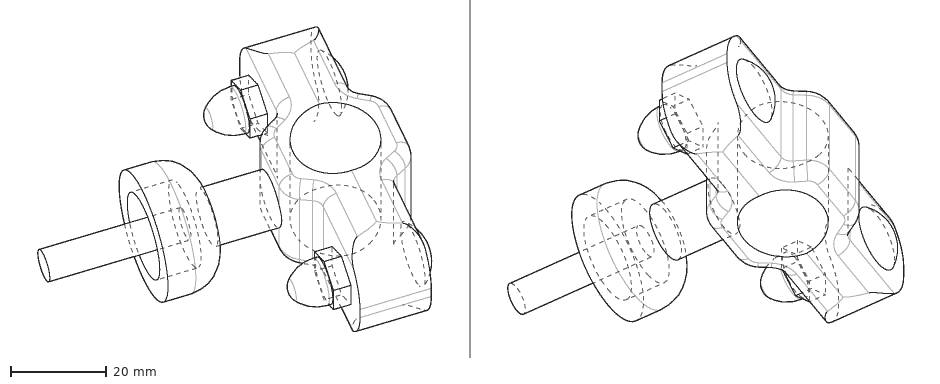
import cadquery as cq
import math

LENGTH = 71.1
TOTAL_DEPTH = 80.0
ARM_HALF_DEPTH = 8.0
HUB_HALF_DEPTH = 29.2 / 2
HUB_FLAT_HALF_WIDTH = 5.2
HUB_CORNER_RADIUS = 5.5
ARM_CORNER_RADIUS = 2.9
FLANK_ANGLE = 60.0
BORE_RADIUS = 9.5
RIDGE_HALF_HEIGHT = 14.1
ROOF_ANGLE = 4.7
EDGE_FILLET = 3.2
END_HALF_HEIGHT = 14.15
END_RADIUS = 12.8

BOLT_X = 24.6
NUT_ACROSS_FLATS = 11.1
NUT_HEIGHT = 3.9
CAP_RADIUS = 5.2
CAP_COLLAR = 0.8
CAP_WALL_HEIGHT = 6.3
CAP_TIP_RADIUS = 2.4
HEAD_RADIUS = 7.2
HEAD_HEIGHT = 3.6

STEM_RADIUS = 6.4
CUP_BACK = 28.8
CUP_RADIUS = 14.5
CUP_HEIGHT = 14.2
CUP_ROUND = 8.0
CUP_BORE_RADIUS = 9.6
CUP_BORE_DEPTH = 9.3
PIN_RADIUS = 7.1 / 2
PIN_END = TOTAL_DEPTH - HUB_HALF_DEPTH


def on_arc(center, radius, angle):
    """Point on a circle at an angle in degrees from +X."""
    turn = math.radians(angle)
    return (center[0] + radius * math.cos(turn), center[1] + radius * math.sin(turn))


def quarter_body():
    """Extruded outline of the +X +Y quarter of the clamp body."""
    half_length = LENGTH / 2
    normal_angle = 90 - FLANK_ANGLE
    hub_center = (HUB_FLAT_HALF_WIDTH, HUB_HALF_DEPTH - HUB_CORNER_RADIUS)
    flank_top = on_arc(hub_center, HUB_CORNER_RADIUS, normal_angle)

    arm_center_y = ARM_HALF_DEPTH + ARM_CORNER_RADIUS
    flank_bottom_y = on_arc((0, arm_center_y), ARM_CORNER_RADIUS, normal_angle + 180)[1]
    flank_run = (flank_top[1] - flank_bottom_y) / math.tan(math.radians(FLANK_ANGLE))
    flank_bottom = (flank_top[0] + flank_run, flank_bottom_y)
    arm_center_x = flank_bottom[0] + ARM_CORNER_RADIUS * math.cos(math.radians(normal_angle))
    arm_center = (arm_center_x, arm_center_y)

    return (
        cq.Workplane("XY")
        .workplane(offset=-RIDGE_HALF_HEIGHT)
        .lineTo(half_length, 0)
        .lineTo(half_length, ARM_HALF_DEPTH)
        .lineTo(arm_center_x, ARM_HALF_DEPTH)
        .threePointArc(on_arc(arm_center, ARM_CORNER_RADIUS, 270 - FLANK_ANGLE / 2), flank_bottom)
        .lineTo(*flank_top)
        .threePointArc(
            on_arc(hub_center, HUB_CORNER_RADIUS, 90 - FLANK_ANGLE / 2),
            (HUB_FLAT_HALF_WIDTH, HUB_HALF_DEPTH),
        )
        .lineTo(0, HUB_HALF_DEPTH)
        .close()
        .extrude(2 * RIDGE_HALF_HEIGHT)
    )


def clamp_body():
    """Ridged two-arm body with rounded ends and the clamping bore."""
    quarter = quarter_body()
    half = quarter.union(quarter.mirror("YZ"))
    body = half.union(half.mirror("XZ")).clean()

    eave = RIDGE_HALF_HEIGHT - HUB_HALF_DEPTH * math.tan(math.radians(ROOF_ANGLE))
    roof = (
        cq.Workplane("YZ")
        .polyline([
            (0, RIDGE_HALF_HEIGHT),
            (HUB_HALF_DEPTH, eave),
            (HUB_HALF_DEPTH, -eave),
            (0, -RIDGE_HALF_HEIGHT),
            (-HUB_HALF_DEPTH, -eave),
            (-HUB_HALF_DEPTH, eave),
        ])
        .close()
        .extrude(LENGTH / 2, both=True)
    )
    body = body.intersect(roof)

    upright = cq.selectors.ParallelDirSelector(cq.Vector(0, 0, 1))
    inside_arm_face = ARM_HALF_DEPTH - EDGE_FILLET / 2
    for side in (1, -1):
        side_edges = cq.selectors.BoxSelector(
            (-LENGTH, side * inside_arm_face, -LENGTH), (LENGTH, side * LENGTH, LENGTH)
        )
        body = body.edges(side_edges - upright).fillet(EDGE_FILLET)

    ends = (
        cq.Workplane("XZ")
        .rect(LENGTH, 2 * END_HALF_HEIGHT)
        .extrude(HUB_HALF_DEPTH, both=True)
        .edges("|Y")
        .fillet(END_RADIUS)
    )
    bore = cq.Workplane("XY").circle(BORE_RADIUS).extrude(RIDGE_HALF_HEIGHT, both=True)
    return body.intersect(ends).cut(bore)


def bolt(x):
    """Domed head on the +Y face and a cap nut on the -Y face of an arm."""
    nut = (
        cq.Workplane("XZ", origin=(x, -ARM_HALF_DEPTH, 0))
        .transformed(rotate=(0, 0, 90))
        .polygon(6, NUT_ACROSS_FLATS / math.cos(math.pi / 6))
        .extrude(NUT_HEIGHT)
    )

    inset = CAP_RADIUS - CAP_TIP_RADIUS
    wall_radius = (inset**2 + CAP_WALL_HEIGHT**2) / (2 * inset)
    wall_sweep = math.degrees(math.asin(CAP_WALL_HEIGHT / wall_radius))
    tip_radius = CAP_TIP_RADIUS / math.cos(math.radians(wall_sweep))

    wall_start = ARM_HALF_DEPTH + NUT_HEIGHT + CAP_COLLAR
    wall_center = (CAP_RADIUS - wall_radius, -wall_start)
    wall_end = on_arc(wall_center, wall_radius, -wall_sweep)
    tip_center = (0, wall_end[1] + tip_radius * math.sin(math.radians(wall_sweep)))
    cap = (
        cq.Workplane("XY")
        .moveTo(0, -ARM_HALF_DEPTH)
        .lineTo(CAP_RADIUS, -ARM_HALF_DEPTH)
        .lineTo(CAP_RADIUS, -wall_start)
        .threePointArc(on_arc(wall_center, wall_radius, -wall_sweep / 2), wall_end)
        .threePointArc(
            on_arc(tip_center, tip_radius, -(90 + wall_sweep) / 2),
            on_arc(tip_center, tip_radius, -90),
        )
        .close()
        .revolve(360, (0, 0), (0, 1))
        .translate((x, 0, 0))
    )

    ball_radius = (HEAD_RADIUS**2 + HEAD_HEIGHT**2) / (2 * HEAD_HEIGHT)
    ball_center = (0, ARM_HALF_DEPTH + HEAD_HEIGHT - ball_radius)
    rim_angle = math.degrees(math.acos(HEAD_RADIUS / ball_radius))
    head = (
        cq.Workplane("XY")
        .moveTo(0, 0)
        .lineTo(HEAD_RADIUS, 0)
        .lineTo(HEAD_RADIUS, ARM_HALF_DEPTH)
        .threePointArc(
            on_arc(ball_center, ball_radius, (90 + rim_angle) / 2),
            on_arc(ball_center, ball_radius, 90),
        )
        .close()
        .revolve(360, (0, 0), (0, 1))
        .translate((x, 0, 0))
    )
    return nut.union(cap).union(head)


def rod(radius, start, length):
    """Cylinder along -Y that begins at the given distance from the origin."""
    return cq.Workplane("XZ", origin=(0, -start, 0)).circle(radius).extrude(length)


def stem_and_cup():
    """Stem rooted in the hub wall, rounded cup open to -Y, and the pin through it."""
    stem_start = (BORE_RADIUS + HUB_HALF_DEPTH) / 2
    stem = rod(STEM_RADIUS, stem_start, CUP_BACK - stem_start)
    cup = rod(CUP_RADIUS, CUP_BACK, CUP_HEIGHT).faces(">Y").edges().fillet(CUP_ROUND)
    bore_start = CUP_BACK + CUP_HEIGHT - CUP_BORE_DEPTH
    cup = cup.cut(rod(CUP_BORE_RADIUS, bore_start, CUP_BORE_DEPTH))
    pin = rod(PIN_RADIUS, CUP_BACK, PIN_END - CUP_BACK)
    return stem.union(cup).union(pin)


result = clamp_body().union(stem_and_cup())
for bolt_x in (-BOLT_X, BOLT_X):
    result = result.union(bolt(bolt_x))